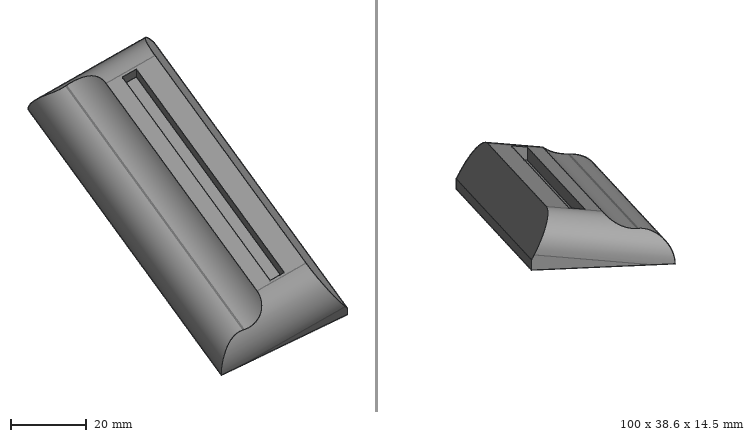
import cadquery as cq
import math

length = 100.0
depth = 38.6
height = 14.5

nose_radius = 9.1
nose_land = 0.3
hollow_end_y = 17.4
top_back_y = 32.4
back_wall_height = 2.8
top_tilt = 7.3

end_radius = 11.0
slot_length = 76.4
slot_front_y = 21.9
slot_back_y = 26.2
slot_depth = 3.5

top_slope = math.tan(math.radians(top_tilt))


def top_z(y):
    """Height of the sloping top plane at a given Y."""
    return height - (top_back_y - y) * top_slope


def extrude_across(profile, width):
    """Extrude a YZ outline by a width centred on X = 0."""
    return profile.close().extrude(width / 2, both=True)


def make_body():
    """Wedge with a rounded nose and a hollow leading up to the top."""
    hollow_start_y = nose_radius + nose_land
    run = hollow_end_y - hollow_start_y
    rise = top_z(hollow_end_y) - nose_radius
    hollow_radius = (run**2 + rise**2) / (2 * rise)
    half_sweep = math.atan2(rise, run)
    hollow_middle = (
        hollow_start_y + hollow_radius * math.sin(half_sweep),
        nose_radius + hollow_radius * (1 - math.cos(half_sweep)),
    )
    nose_middle = (
        nose_radius * (1 - math.sqrt(0.5)),
        nose_radius * math.sqrt(0.5),
    )
    profile = (
        cq.Workplane("YZ")
        .moveTo(0, 0)
        .threePointArc(nose_middle, (nose_radius, nose_radius))
        .lineTo(hollow_start_y, nose_radius)
        .threePointArc(hollow_middle, (hollow_end_y, top_z(hollow_end_y)))
        .lineTo(top_back_y, height)
        .lineTo(depth, back_wall_height)
        .lineTo(depth, 0)
    )
    return extrude_across(profile, length)


def make_end_envelope():
    """Bar with rounded long top edges, running parallel to the sloping top."""
    bar_length = 3 * depth
    bar_height = 2 * height
    return (
        cq.Workplane("XY")
        .box(length, bar_length, bar_height)
        .edges("|Y and >Z")
        .fillet(end_radius)
        .translate((0, 0, -bar_height / 2))
        .rotate((0, 0, 0), (1, 0, 0), top_tilt)
        .translate((0, top_back_y, height))
    )


def make_slot():
    """Straight-sided slot whose floor runs parallel to the top."""
    profile = (
        cq.Workplane("YZ")
        .moveTo(slot_front_y, top_z(slot_front_y) - slot_depth)
        .lineTo(slot_back_y, top_z(slot_back_y) - slot_depth)
        .lineTo(slot_back_y, height)
        .lineTo(slot_front_y, height)
    )
    return extrude_across(profile, slot_length)


result = make_body().intersect(make_end_envelope()).cut(make_slot())